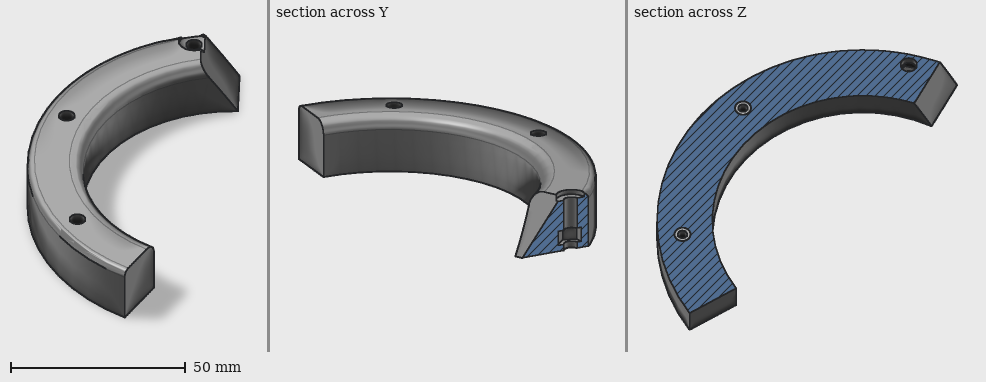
import cadquery as cq
import math

outer_radius = 59.0
inner_radius = 43.0
height = 17.0
start_angle = 120.0
end_angle = 270.0
outer_fillet = 2.0
inner_fillet = 4.0

end_lean = 10.8

end_hole_angle = 133.5
end_hole_radius = 55.4
end_hole_diameter = 4.5
end_seat_diameter = 8.8
end_seat_depth = 1.4

nut_across_flats = 7.0
nut_chamber_bottom = 2.0
nut_chamber_height = 4.2

step_hole_angles = (188.7, 242.4)
step_hole_radius = 51.9
step_hole_diameter = 2.6
step_bore_diameter = 4.5
step_bore_depth = height / 2


def polar(radius, angle):
    """Point at a radius and an angle in degrees about the ring axis."""
    turn = math.radians(angle)
    return (radius * math.cos(turn), radius * math.sin(turn))


def ring_segment():
    """Revolved ring section with both upper edges rounded."""
    width = outer_radius - inner_radius
    section = (
        cq.Workplane("XZ")
        .moveTo(inner_radius, 0)
        .hLine(width)
        .vLine(height - outer_fillet)
        .radiusArc((outer_radius - outer_fillet, height), -outer_fillet)
        .hLine(inner_fillet + outer_fillet - width)
        .radiusArc((inner_radius, height - inner_fillet), -inner_fillet)
        .close()
    )
    span = end_angle - start_angle
    segment = section.revolve(span, (0, 0, 0), (0, -1, 0))
    return segment.rotate((0, 0, 0), (0, 0, 1), end_angle)


def sloping_end_cutter():
    """Wedge that leans the start face back towards the segment."""
    wedge = (
        cq.Workplane("XZ")
        .polyline([(0, 0), (0, height), (-end_lean, height)])
        .close()
        .extrude(-outer_radius)
    )
    return wedge.rotate((0, 0, 0), (0, 0, 1), start_angle - 90)


def bore(position, diameter, depth):
    """Vertical cylinder reaching down from the top face."""
    return (
        cq.Workplane("XY", origin=(0, 0, height - depth))
        .center(*position)
        .circle(diameter / 2)
        .extrude(depth)
    )


def stepped_hole(position, diameter, bore_diameter, bore_depth):
    """Through hole with a wider bore at the top."""
    return bore(position, diameter, height).union(bore(position, bore_diameter, bore_depth))


def nut_chamber(position, facing_angle):
    """Hexagonal prism with a flat facing the given direction."""
    corner_diameter = nut_across_flats / math.cos(math.pi / 6)
    return (
        cq.Workplane("XY")
        .polygon(6, corner_diameter)
        .extrude(nut_chamber_height)
        .rotate((0, 0, 0), (0, 0, 1), facing_angle + 30)
        .translate((*position, nut_chamber_bottom))
    )


result = ring_segment().cut(sloping_end_cutter())

end_hole_position = polar(end_hole_radius, end_hole_angle)
result = result.cut(stepped_hole(end_hole_position, end_hole_diameter, end_seat_diameter, end_seat_depth))
result = result.cut(nut_chamber(end_hole_position, end_hole_angle))

for hole_angle in step_hole_angles:
    hole_position = polar(step_hole_radius, hole_angle)
    result = result.cut(stepped_hole(hole_position, step_hole_diameter, step_bore_diameter, step_bore_depth))